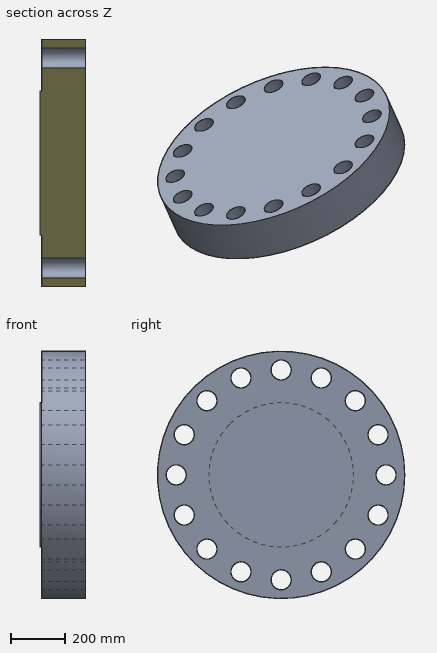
import cadquery as cq

flange_diameter = 914.0
total_thickness = 168.0
raised_face_diameter = 534.0
raised_face_height = 6.0
bolt_circle_diameter = 775.0
bolt_hole_diameter = 73.0
bolt_count = 16

disc_thickness = total_thickness - raised_face_height

disc = cq.Workplane("YZ").circle(flange_diameter / 2).extrude(disc_thickness)

raised_face = cq.Workplane("YZ").circle(raised_face_diameter / 2).extrude(-raised_face_height)

bolt_holes = (
    cq.Workplane("YZ")
    .polarArray(bolt_circle_diameter / 2, 0, 360, bolt_count)
    .circle(bolt_hole_diameter / 2)
    .extrude(disc_thickness)
)

result = disc.union(raised_face).cut(bolt_holes)